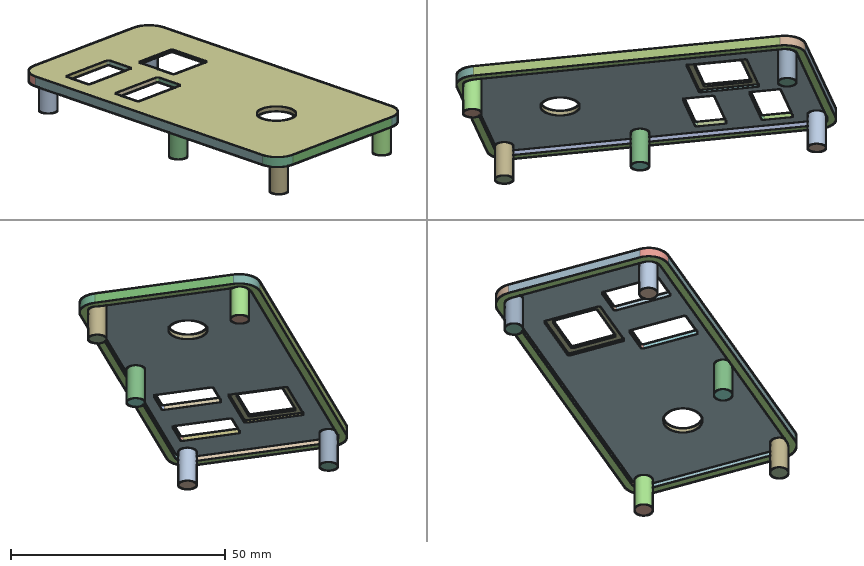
import cadquery as cq

plate_length = 83.19
plate_width = 43.56
plate_thickness = 2.5
corner_radius = 5.0
total_height = 10.0

skin_thickness = 1.27
rim_width = 2.0

step_skin_thickness = skin_thickness / 2
step_margin = 1.5

post_diameter = 4.34
post_length = total_height - plate_thickness
post_centers = [
    (-37.08, -16.88),
    (-37.33, 17.3),
    (5.2, -17.32),
    (37.63, -17.35),
    (37.8, 17.3),
]

window_corner_radius = 0.5
square_window_size = 11.35
square_window_center = (-19.8, 7.1)
slot_window_length = 14.45
slot_window_width = 7.52
slot_window_y = -9.65
slot_window_spacing = 15.85
round_hole_diameter = 9.14
round_hole_center = (20.6, -0.25)


def rounded_block(length, width, height, radius, center=(0, 0)):
    """Block standing on the plate's bottom plane, with rounded vertical edges."""
    block = cq.Workplane("XY").center(*center).rect(length, width).extrude(height)
    return block.edges("|Z").fillet(radius)


def make_plate():
    """Plate with its underside hollowed out inside the rim, deepest around the square window."""
    plate = rounded_block(plate_length, plate_width, plate_thickness, corner_radius)
    recess = rounded_block(
        plate_length - 2 * rim_width,
        plate_width - 2 * rim_width,
        plate_thickness - skin_thickness,
        corner_radius - rim_width,
    )
    step = rounded_block(
        square_window_size + 2 * step_margin,
        square_window_size + 2 * step_margin,
        plate_thickness - step_skin_thickness,
        window_corner_radius,
        square_window_center,
    )
    return plate.cut(recess).cut(step)


def make_posts():
    """Round posts from the top skin down to the lowest level."""
    height = total_height - skin_thickness
    base = cq.Workplane("XY", origin=(0, 0, -post_length))
    return base.pushPoints(post_centers).circle(post_diameter / 2).extrude(height)


def cut_openings(body):
    """Square window, two slot windows below it and the round hole."""
    square_x, square_y = square_window_center
    windows = [(square_window_size, square_window_size, (square_x, square_y))]
    for side in (-1, 1):
        slot_x = square_x + side * slot_window_spacing / 2
        windows.append((slot_window_width, slot_window_length, (slot_x, slot_window_y)))
    for length, width, center in windows:
        body = body.cut(rounded_block(length, width, plate_thickness, window_corner_radius, center))
    hole = cq.Workplane("XY").center(*round_hole_center).circle(round_hole_diameter / 2)
    return body.cut(hole.extrude(plate_thickness))


result = cut_openings(make_plate().union(make_posts()))